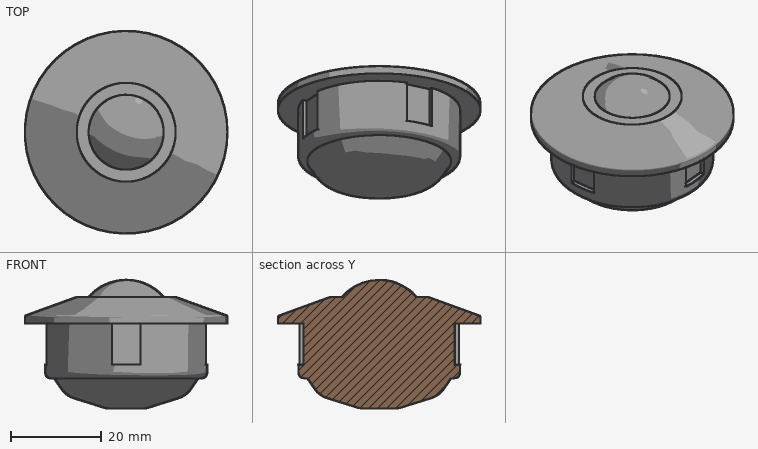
import cadquery as cq

total_height = 28.6
cup_base_round_top = 0.2
cup_bend_bottom = 2.3
cup_bend_top = 4.05
body_bottom = 6.7
pocket_bottom = 9.75
flange_bottom = 18.85
rim_top = 20.75
cover_top = 24.8

flange_radius = 22.5
cover_edge_radius = 22.15
cover_top_radius = 11.0
ball_opening_radius = 8.32
body_radius = 18.0
cup_top_radius = 15.98
cup_bend_top_radius = 14.15
cup_bend_bottom_radius = 11.5
cup_base_radius = 3.55
cup_base_round_radius = 4.75

body_fillet = 1.35
rim_height = 0.55
corner_factor = 0.5 ** 0.5

pocket_count = 4
pocket_width = 6.4
pocket_floor_radius = 16.8

cap_height = total_height - cover_top
ball_radius = (ball_opening_radius**2 + cap_height**2) / (2 * cap_height)
ball_center = total_height - ball_radius
cap_middle_radius = ball_opening_radius / 2
cap_middle_height = ball_center + (ball_radius**2 - cap_middle_radius**2) ** 0.5


def revolved_body():
    """Cup, cylindrical body, flange, conical cover and ball in one profile."""
    fillet_inner_radius = body_radius - body_fillet
    fillet_top = body_bottom + body_fillet
    rim_bottom = rim_top - rim_height
    rim_width = flange_radius - cover_edge_radius
    profile = (
        cq.Workplane("XZ")
        .lineTo(cup_base_radius, 0)
        .tangentArcPoint((cup_base_round_radius, cup_base_round_top), relative=False)
        .lineTo(cup_bend_bottom_radius, cup_bend_bottom)
        .tangentArcPoint((cup_bend_top_radius, cup_bend_top), relative=False)
        .lineTo(cup_top_radius, body_bottom)
        .lineTo(fillet_inner_radius, body_bottom)
        .threePointArc(
            (
                fillet_inner_radius + body_fillet * corner_factor,
                fillet_top - body_fillet * corner_factor,
            ),
            (body_radius, fillet_top),
        )
        .lineTo(body_radius, flange_bottom)
        .lineTo(flange_radius, flange_bottom)
        .lineTo(flange_radius, rim_bottom)
        .threePointArc(
            (
                cover_edge_radius + rim_width * corner_factor,
                rim_bottom + rim_height * corner_factor,
            ),
            (cover_edge_radius, rim_top),
        )
        .lineTo(cover_top_radius, cover_top)
        .lineTo(ball_opening_radius, cover_top)
        .threePointArc((cap_middle_radius, cap_middle_height), (0, total_height))
        .close()
    )
    return profile.revolve(360, (0, 0, 0), (0, 1, 0))


def latch_pocket(angle):
    """Flat-floored pocket running up to the underside of the flange."""
    return (
        cq.Workplane("XY")
        .box(
            body_radius - pocket_floor_radius,
            pocket_width,
            flange_bottom - pocket_bottom,
            centered=(False, True, False),
        )
        .translate((pocket_floor_radius, 0, pocket_bottom))
        .rotate((0, 0, 0), (0, 0, 1), angle)
    )


result = revolved_body()
for index in range(pocket_count):
    result = result.cut(latch_pocket(index * 360 / pocket_count))